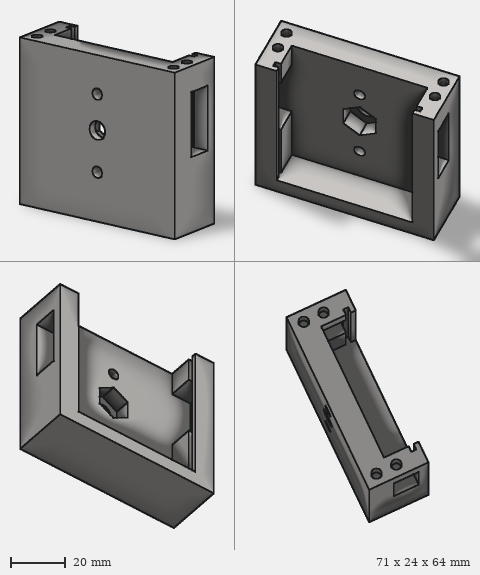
import cadquery as cq
import math

WIDTH = 71.0
DEPTH = 24.0
HEIGHT = 64.0

SIDE_WALL = 8.5
FRONT_WALL = 10.0
FLOOR = 5.95
POCKET_WIDTH = WIDTH - 2 * SIDE_WALL

GROOVE_DEPTH = 2.3
GROOVE_WIDTH = 2.0
GROOVE_LIP = 2.0

WINDOW_TOP_MARGIN = 10.0
WINDOW_HEIGHT = 24.9
WINDOW_DEPTH = DEPTH - GROOVE_LIP - GROOVE_WIDTH - FRONT_WALL

CENTRE_HOLE_DIAMETER = 7.1
CENTRE_HOLE_HEIGHT = 35.0
NUT_SIDES = 6
NUT_ACROSS_FLATS = 13.0
NUT_RECESS_DEPTH = 6.5
SCREW_HOLE_DIAMETER = 4.4
SCREW_HOLE_HEIGHTS = (19.0, 49.0)

TOP_HOLE_DIAMETER = 3.9
TOP_HOLE_DEPTH = 8.0
TOP_HOLE_X = (WIDTH - SIDE_WALL) / 2
TOP_HOLE_FRONT_Y = 5.0
TOP_HOLE_SPACING = 8.0


def box(width, front, back, bottom, top):
    """Box centred on X, between the given Y and Z positions."""
    size = (width, back - front, top - bottom)
    return cq.Workplane("XY").box(*size, centered=(True, False, False)).translate((0, front, bottom))


def wall_hole(diameter, height, front, back):
    """Cylinder along Y on the middle plane of the block."""
    start = cq.Vector(0, front, height)
    return cq.Workplane(cq.Solid.makeCylinder(diameter / 2, back - front, start, cq.Vector(0, 1, 0)))


result = box(WIDTH, 0, DEPTH, 0, HEIGHT)

result = result.cut(box(POCKET_WIDTH, FRONT_WALL, DEPTH, FLOOR, HEIGHT))

groove_back = DEPTH - GROOVE_LIP
groove_front = groove_back - GROOVE_WIDTH
result = result.cut(box(POCKET_WIDTH + 2 * GROOVE_DEPTH, groove_front, groove_back, FLOOR, HEIGHT))

window_top = HEIGHT - WINDOW_TOP_MARGIN
window_back = FRONT_WALL + WINDOW_DEPTH
result = result.cut(box(WIDTH, FRONT_WALL, window_back, window_top - WINDOW_HEIGHT, window_top))

result = result.cut(wall_hole(CENTRE_HOLE_DIAMETER, CENTRE_HOLE_HEIGHT, 0, FRONT_WALL))
nut_across_corners = NUT_ACROSS_FLATS / math.cos(math.pi / NUT_SIDES)
nut_recess = (
    cq.Workplane("XZ", origin=(0, FRONT_WALL, CENTRE_HOLE_HEIGHT))
    .transformed(rotate=(0, 0, 180 / NUT_SIDES))
    .polygon(NUT_SIDES, nut_across_corners)
    .extrude(NUT_RECESS_DEPTH)
)
result = result.cut(nut_recess)

for screw_height in SCREW_HOLE_HEIGHTS:
    result = result.cut(wall_hole(SCREW_HOLE_DIAMETER, screw_height, 0, FRONT_WALL))

top_hole_points = [
    (x, y)
    for x in (-TOP_HOLE_X, TOP_HOLE_X)
    for y in (TOP_HOLE_FRONT_Y, TOP_HOLE_FRONT_Y + TOP_HOLE_SPACING)
]
top_holes = (
    cq.Workplane("XY", origin=(0, 0, HEIGHT))
    .pushPoints(top_hole_points)
    .circle(TOP_HOLE_DIAMETER / 2)
    .extrude(-TOP_HOLE_DEPTH)
)
result = result.cut(top_holes)